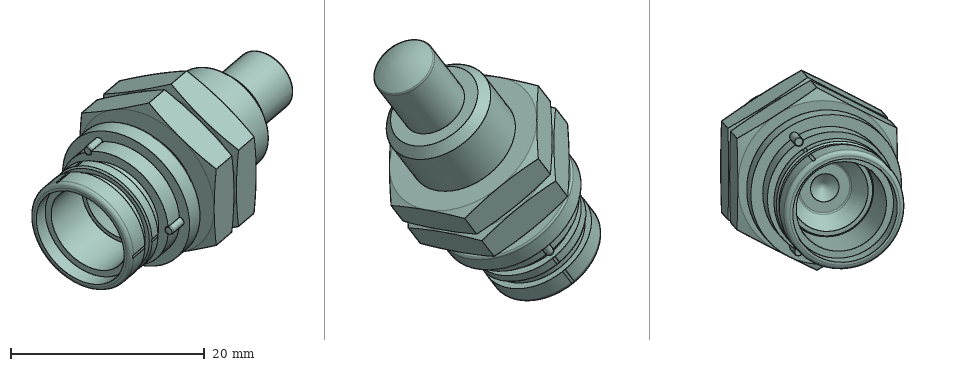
import cadquery as cq
import math


SMALL_FILLET = 0.2

BARREL_TOP_Y = 9.15
BARREL_RADIUS = 6.03
BARREL_CHAMFER = 1.0
FLANGE_BACK_Y = -6.85
FLANGE_FRONT_Y = -8.87
FLANGE_RADIUS = 8.0
PIN_COLLAR_FRONT_Y = -10.93
PIN_COLLAR_RADIUS = 6.75
NECK_FRONT_Y = -12.23
NECK_RADIUS = 5.55
RIB_FRONT_Y = -13.5
RIB_RADIUS = 6.37
RIB_CHAMFER = 0.2
SEAL_GROOVE_FRONT_Y = -14.6
SEAL_GROOVE_RADIUS = 5.2
SOCKET_END_Y = -17.12
SOCKET_END_FILLET = 0.5

COUNTERBORE_RADIUS = 5.55
COUNTERBORE_DEPTH = 1.6
BORE_RADIUS = 4.8
BORE_END_Y = FLANGE_BACK_Y

SEAL_RADIUS = 5.65

PIN_COUNT = 3
PIN_RADIUS = 0.48
PIN_CIRCLE_RADIUS = 6.8
PIN_END_CHAMFER_LENGTH = 0.2
PIN_END_CHAMFER_WIDTH = 0.05

PLUNGER_TIP_Y = 17.12
PLUNGER_RADIUS = 3.5
DOME_HEIGHT = 0.92
HEAD_RADIUS = 4.73
HEAD_THICKNESS = 3.42
HEAD_CHAMFER = 0.15
FUNNEL_MOUTH_RADIUS = 4.1
FUNNEL_FLOOR_RADIUS = 2.77
FUNNEL_DEPTH = 2.05
DIMPLE_RADIUS = 1.5
DIMPLE_POINT_ANGLE = 118.0

NUT_COUNT = 2
NUT_ACROSS_FLATS = 17.0
NUT_THICKNESS = 3.55
NUT_GAP = 0.45
NUT_CORNER_BEVEL = 0.38
FIRST_NUT_FRONT_Y = -5.15


def cylinder(radius, start_y, end_y):
    """A cylinder on the Y axis between two positions."""
    return cq.Workplane("XZ", origin=(0, start_y, 0)).circle(radius).extrude(start_y - end_y)


def revolved(profile):
    """A closed profile in the XY plane turned about the Y axis."""
    return profile.close().revolve(360, (0, 0, 0), (0, 1, 0))


def pin_places():
    """Centres of the key pins as (x, z), the first on the +X axis."""
    angles = [2 * math.pi * index / PIN_COUNT for index in range(PIN_COUNT)]
    return [(PIN_CIRCLE_RADIUS * math.cos(angle), PIN_CIRCLE_RADIUS * math.sin(angle)) for angle in angles]


def make_housing():
    barrel = cylinder(BARREL_RADIUS, BARREL_TOP_Y, FLANGE_BACK_Y).faces(">Y").chamfer(BARREL_CHAMFER)
    flange = cylinder(FLANGE_RADIUS, FLANGE_BACK_Y, FLANGE_FRONT_Y).faces(">Y").edges().fillet(SMALL_FILLET)
    pin_collar = cylinder(PIN_COLLAR_RADIUS, FLANGE_FRONT_Y, PIN_COLLAR_FRONT_Y)
    neck = cylinder(NECK_RADIUS, PIN_COLLAR_FRONT_Y, NECK_FRONT_Y)
    rib = cylinder(RIB_RADIUS, NECK_FRONT_Y, RIB_FRONT_Y).faces("<Y").chamfer(RIB_CHAMFER)
    groove_core = cylinder(SEAL_GROOVE_RADIUS, RIB_FRONT_Y, SEAL_GROOVE_FRONT_Y)
    end_collar = cylinder(RIB_RADIUS, SEAL_GROOVE_FRONT_Y, SOCKET_END_Y)
    end_collar = end_collar.faces("<Y").edges().fillet(SOCKET_END_FILLET)

    housing = barrel
    for section in (flange, pin_collar, neck, rib, groove_core, end_collar):
        housing = housing.union(section)

    counterbore_floor_y = SOCKET_END_Y + COUNTERBORE_DEPTH
    housing = housing.cut(cylinder(COUNTERBORE_RADIUS, counterbore_floor_y, SOCKET_END_Y))
    housing = housing.cut(cylinder(BORE_RADIUS, BORE_END_Y, counterbore_floor_y))
    housing = housing.cut(cylinder(PLUNGER_RADIUS, BARREL_TOP_Y, BORE_END_Y))

    pin_holes = (
        cq.Workplane("XZ", origin=(0, FLANGE_FRONT_Y, 0))
        .pushPoints(pin_places())
        .circle(PIN_RADIUS)
        .extrude(FLANGE_FRONT_Y - SOCKET_END_Y)
    )
    return housing.cut(pin_holes)


def make_seal_ring():
    ring = cylinder(SEAL_RADIUS, RIB_FRONT_Y, SEAL_GROOVE_FRONT_Y)
    return ring.cut(cylinder(SEAL_GROOVE_RADIUS, RIB_FRONT_Y, SEAL_GROOVE_FRONT_Y))


def make_pin(x, z):
    length = FLANGE_FRONT_Y - PIN_COLLAR_FRONT_Y
    pin = cq.Workplane("XZ", origin=(x, FLANGE_FRONT_Y, z)).circle(PIN_RADIUS).extrude(length)
    return pin.faces("<Y").chamfer(PIN_END_CHAMFER_LENGTH, PIN_END_CHAMFER_WIDTH)


def make_plunger():
    dome_base_y = PLUNGER_TIP_Y - DOME_HEIGHT
    dome_radius = (PLUNGER_RADIUS**2 + DOME_HEIGHT**2) / (2 * DOME_HEIGHT)
    half_angle = math.asin(PLUNGER_RADIUS / dome_radius) / 2
    dome_middle = (
        dome_radius * math.sin(half_angle),
        PLUNGER_TIP_Y - dome_radius * (1 - math.cos(half_angle)),
    )
    stem = revolved(
        cq.Workplane("XY")
        .moveTo(0, BORE_END_Y)
        .lineTo(PLUNGER_RADIUS, BORE_END_Y)
        .lineTo(PLUNGER_RADIUS, dome_base_y)
        .threePointArc(dome_middle, (0, PLUNGER_TIP_Y))
    )
    rim_of_dome = cq.selectors.BoxSelector(
        (-FLANGE_RADIUS, dome_base_y - SMALL_FILLET, -FLANGE_RADIUS),
        (FLANGE_RADIUS, dome_base_y + SMALL_FILLET, FLANGE_RADIUS),
    )
    stem = stem.edges(rim_of_dome).fillet(SMALL_FILLET)

    head_front_y = BORE_END_Y - HEAD_THICKNESS
    head = cylinder(HEAD_RADIUS, BORE_END_Y, head_front_y).faces("<Y").chamfer(HEAD_CHAMFER)

    funnel_floor_y = head_front_y + FUNNEL_DEPTH
    dimple_tip_y = funnel_floor_y + DIMPLE_RADIUS / math.tan(math.radians(DIMPLE_POINT_ANGLE / 2))
    funnel = revolved(
        cq.Workplane("XY")
        .moveTo(0, head_front_y)
        .lineTo(FUNNEL_MOUTH_RADIUS, head_front_y)
        .lineTo(FUNNEL_FLOOR_RADIUS, funnel_floor_y)
        .lineTo(0, funnel_floor_y)
    )
    funnel = funnel.faces(">Y").edges().fillet(SMALL_FILLET)
    dimple = revolved(
        cq.Workplane("XY")
        .moveTo(0, funnel_floor_y)
        .lineTo(DIMPLE_RADIUS, funnel_floor_y)
        .lineTo(0, dimple_tip_y)
    )
    return stem.union(head).cut(funnel).cut(dimple)


def make_nut(front_y):
    """A hexagon nut with corners on the Z axis and both faces bevelled at the corners."""
    back_y = front_y + NUT_THICKNESS
    flat_radius = NUT_ACROSS_FLATS / 2
    corner_radius = flat_radius / math.cos(math.pi / 6)
    hexagon = (
        cq.Workplane("XZ", origin=(0, back_y, 0))
        .transformed(rotate=(0, 0, 90))
        .polygon(6, 2 * corner_radius)
        .extrude(NUT_THICKNESS)
    )
    bevelled_disc = revolved(
        cq.Workplane("XY")
        .moveTo(0, front_y)
        .lineTo(flat_radius, front_y)
        .lineTo(corner_radius, front_y + NUT_CORNER_BEVEL)
        .lineTo(corner_radius, back_y - NUT_CORNER_BEVEL)
        .lineTo(flat_radius, back_y)
        .lineTo(0, back_y)
    )
    return hexagon.intersect(bevelled_disc).cut(cylinder(BARREL_RADIUS, back_y, front_y))


housing = make_housing()
seal_ring = make_seal_ring()
plunger = make_plunger()
pins = [make_pin(x, z) for x, z in pin_places()]
nuts = [make_nut(FIRST_NUT_FRONT_Y + index * (NUT_THICKNESS + NUT_GAP)) for index in range(NUT_COUNT)]

result = cq.Compound.makeCompound(
    [
        housing.val(),
        seal_ring.val(),
        plunger.val(),
        *[pin.val() for pin in pins],
        *[nut.val() for nut in nuts],
    ]
)